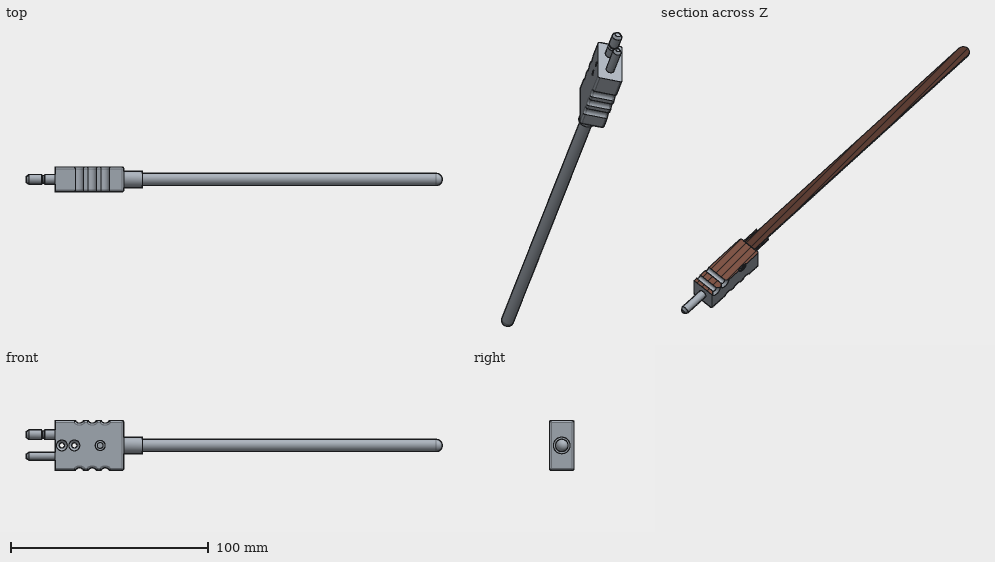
import cadquery as cq

total_length = 210.8
pin_length = 14.8
housing_length = 34.8
sleeve_length = 9.3
housing_start = pin_length
housing_end = housing_start + housing_length

housing_depth = 12.7
housing_height = 25.3
edge_radius = 1.0
front_y = -housing_depth / 2
half_height = housing_height / 2

groove_radius = 2.3
groove_depth = 1.3
groove_count = 3
groove_pitch = 6.5
first_groove_x = 27.0

pin_spacing = 11.0
large_pin_radius = 2.5
small_pin_radius = 2.1
pin_tip_length = 1.5
pin_tip_inset = 1.0
pin_groove_x = 8.6
pin_groove_width = 2.0
pin_groove_floor = 0.6
pin_groove_depth = 0.6

hole_radius = 1.3
countersink_radius = 2.7
hole_positions = (18.1, 24.5)

recess_x = 37.5
recess_radius = 2.5
recess_depth = 0.5
recess_core_radius = 1.5
recess_core_depth = 0.8

sleeve_radius = 4.2
probe_radius = 3.2


def x_cylinder(radius, start, end, z=0.0):
    """Round bar along X between two positions."""
    return cq.Workplane("YZ", origin=(start, 0, z)).circle(radius).extrude(end - start)


def y_cylinder(radius, x, depth):
    """Round bar along Y, going inward from the front face."""
    return cq.Workplane("XZ", origin=(x, front_y, 0)).circle(radius).extrude(-depth)


def housing_block():
    """Block with grip grooves, rounded everywhere except around the pin face."""
    block = cq.Workplane("XY").box(housing_length, housing_depth, housing_height)
    block = block.translate((housing_start + housing_length / 2, 0, 0))
    block = block.edges(">X and |Y").fillet(edge_radius)
    axis_height = half_height + groove_radius - groove_depth
    for index in range(groove_count):
        x = first_groove_x + index * groove_pitch
        for z in (-axis_height, axis_height):
            groove = y_cylinder(groove_radius, x, housing_depth).translate((0, 0, z))
            block = block.cut(groove)
    rounded_edges = block.faces("<Y or >Y").edges("not <X")
    return block.newObject(rounded_edges.vals()).fillet(edge_radius)


def countersunk_hole(x):
    """Through hole with a 45 degree countersink at the front face."""
    cone_depth = countersink_radius - hole_radius
    cone = cq.Solid.makeCone(
        countersink_radius, hole_radius, cone_depth, cq.Vector(x, front_y, 0), cq.Vector(0, 1, 0)
    )
    return y_cylinder(hole_radius, x, housing_depth).union(cq.Workplane(cone))


def recess():
    """Shallow round recess with a deeper round core."""
    core = y_cylinder(recess_core_radius, recess_x, recess_core_depth)
    return y_cylinder(recess_radius, recess_x, recess_depth).union(core)


def pin(radius, z):
    """Connector pin with a chamfered tip, reaching back to the housing."""
    return x_cylinder(radius, 0, housing_start, z).faces("<X").chamfer(pin_tip_length, pin_tip_inset)


def pin_groove(z):
    """Ring with sloping sides around a large pin whose axis is at height z."""
    half_width = pin_groove_width / 2
    half_floor = pin_groove_floor / 2
    rim_z = z + large_pin_radius
    floor_z = rim_z - pin_groove_depth
    profile = (
        cq.Workplane("XZ")
        .moveTo(pin_groove_x - half_width, rim_z)
        .lineTo(pin_groove_x - half_floor, floor_z)
        .lineTo(pin_groove_x + half_floor, floor_z)
        .lineTo(pin_groove_x + half_width, rim_z)
        .close()
    )
    return profile.revolve(360, (0, z, 0), (1, z, 0))


def make_connector():
    """Housing with its holes and both pins."""
    connector = housing_block().cut(recess())
    for x in hole_positions:
        connector = connector.cut(countersunk_hole(x))
    pin_z = pin_spacing / 2
    large_pin = pin(large_pin_radius, pin_z).cut(pin_groove(pin_z))
    return connector.union(large_pin).union(pin(small_pin_radius, -pin_z))


def make_sleeve():
    """Tube between the housing and the bare probe."""
    sleeve_end = housing_end + sleeve_length
    bore = x_cylinder(probe_radius, housing_end, sleeve_end)
    return x_cylinder(sleeve_radius, housing_end, sleeve_end).cut(bore)


def make_probe():
    """Round probe from the housing to its hemispherical tip."""
    shoulder = total_length - probe_radius
    tip = cq.Workplane("XY").sphere(probe_radius).translate((shoulder, 0, 0))
    return x_cylinder(probe_radius, housing_end, shoulder).union(tip)


connector = make_connector()
sleeve = make_sleeve()
probe = make_probe()

result = cq.Compound.makeCompound([connector.val(), sleeve.val(), probe.val()])